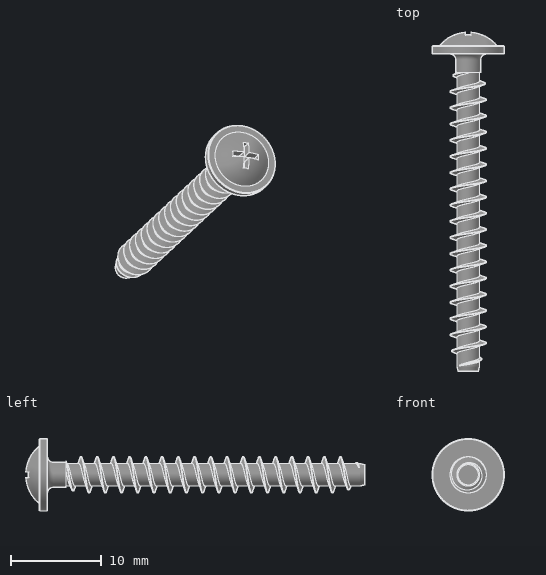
import cadquery as cq
import math

shank_length = 35.0
head_height = 2.45
washer_diameter = 8.0
washer_thickness = 0.95
washer_rim_chamfer = 0.08
dome_base_radius = 3.17

neck_radius = 1.4
neck_length = 2.0
neck_fillet = 0.6
core_radius = 1.25
tip_radius = 1.12
tip_taper_length = 0.5

recess_wing_width = 0.6
recess_span = 3.0
recess_depth = 1.5

thread_diameter = 4.0
thread_radius = thread_diameter / 2
thread_pitch = 1.79
thread_top = -3.68
full_turns = 16
growth_turns = 1
fade_turns = 1.25
thread_start_radius = 1.58
thread_end_radius = 1.18
crest_width = 0.08
root_width = 0.62
root_embed = 0.2
thread_root_radius = core_radius - root_embed
points_per_turn = 24


def make_head():
    """Domed head with an integral washer, its rim broken on both edges."""
    rim_radius = washer_diameter / 2
    return (
        cq.Workplane("XY")
        .lineTo(rim_radius - washer_rim_chamfer, 0)
        .lineTo(rim_radius, washer_rim_chamfer)
        .lineTo(rim_radius, washer_thickness - washer_rim_chamfer)
        .lineTo(rim_radius - washer_rim_chamfer, washer_thickness)
        .lineTo(dome_base_radius, washer_thickness)
        .threePointArc(dome_point(dome_base_radius / 2), (0, head_height))
        .close()
        .revolve(360, (0, 0, 0), (0, 1, 0))
    )


def dome_point(radius):
    """Point of the spherical dome profile at a given distance from the axis."""
    dome_height = head_height - washer_thickness
    sphere_radius = (dome_base_radius**2 + dome_height**2) / (2 * dome_height)
    drop = sphere_radius - math.sqrt(sphere_radius**2 - radius**2)
    return (radius, head_height - drop)


def make_shank():
    """Neck with a concave fillet under the head, threaded core and tapered tip."""
    fillet_outer_radius = neck_radius + neck_fillet
    fillet_inset = neck_fillet * (1 - math.sqrt(0.5))
    return (
        cq.Workplane("XY")
        .lineTo(fillet_outer_radius, 0)
        .threePointArc((neck_radius + fillet_inset, -fillet_inset), (neck_radius, -neck_fillet))
        .lineTo(neck_radius, -neck_length)
        .lineTo(core_radius, -neck_length)
        .lineTo(core_radius, tip_taper_length - shank_length)
        .lineTo(tip_radius, -shank_length)
        .lineTo(0, -shank_length)
        .close()
        .revolve(360, (0, 0, 0), (0, 1, 0))
    )


def make_recess():
    """Cross recess in the top of the dome."""
    wing = cq.Workplane("XY").box(recess_span, 2 * recess_depth, recess_wing_width)
    cross = wing.union(wing.rotate((0, 0, 0), (0, 1, 0), 90))
    return cross.translate((0, head_height, 0))


def helix_edge(first_turn, last_turn, first_radius, last_radius, offset):
    """Helical curve whose radius changes steadily; turn 0 is where the full thread starts."""
    count = round((last_turn - first_turn) * points_per_turn)
    points = []
    for i in range(count + 1):
        share = i / count
        turn = first_turn + share * (last_turn - first_turn)
        radius = first_radius + share * (last_radius - first_radius)
        angle = 2 * math.pi * turn
        y = thread_top - thread_pitch * turn + offset
        points.append(cq.Vector(-radius * math.sin(angle), y, radius * math.cos(angle)))
    return cq.Edge.makeSpline(points)


def make_thread(first_turn, last_turn, first_radius, last_radius):
    """Stretch of trapezoidal thread whose crest radius goes from first to last."""
    root = thread_root_radius
    rails = [
        helix_edge(first_turn, last_turn, root, root, root_width / 2),
        helix_edge(first_turn, last_turn, first_radius, last_radius, crest_width / 2),
        helix_edge(first_turn, last_turn, first_radius, last_radius, -crest_width / 2),
        helix_edge(first_turn, last_turn, root, root, -root_width / 2),
    ]
    faces = []
    for i, rail in enumerate(rails):
        faces.append(cq.Face.makeRuledSurface(rail, rails[(i + 1) % len(rails)]))
    for end in (0, 1):
        corners = [rail.positionAt(end) for rail in rails]
        faces.append(cq.Face.makeFromWires(cq.Wire.makePolygon(corners, close=True)))
    return cq.Workplane(cq.Solid.makeSolid(cq.Shell.makeShell(faces)))


def make_thread_start():
    """Growing stretch of thread, trimmed flush with the step below the neck."""
    growing_thread = make_thread(-growth_turns, 0, thread_start_radius, thread_radius)
    trim = (
        cq.Workplane("XZ")
        .workplane(offset=neck_length)
        .circle(thread_diameter)
        .extrude(-thread_pitch)
    )
    return growing_thread.cut(trim)


result = (
    make_head()
    .union(make_shank())
    .cut(make_recess())
    .union(make_thread(0, full_turns, thread_radius, thread_radius))
    .union(make_thread_start())
    .union(make_thread(full_turns, full_turns + fade_turns, thread_radius, thread_end_radius))
)